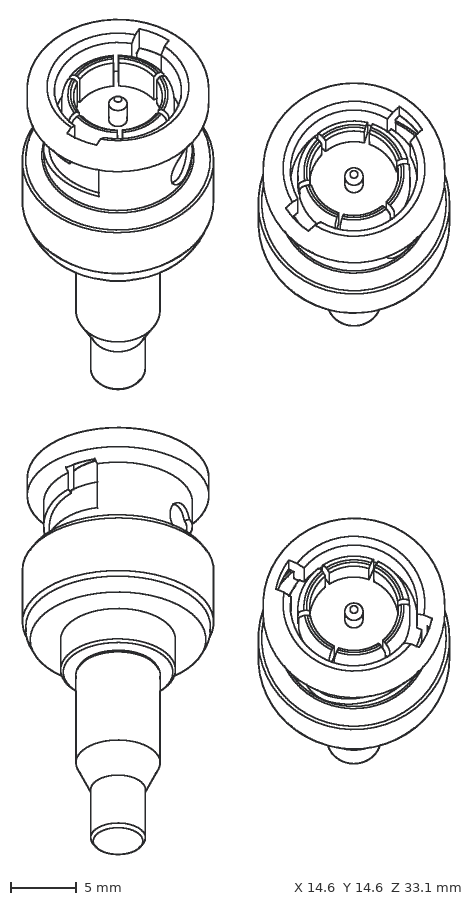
import cadquery as cq
import math

total_height = 33.15

tail_radius = 2.1
tail_chamfer_width = 0.2
tail_chamfer_height = 0.3
taper_bottom = 4.65
ferrule_radius = 3.2
ferrule_bottom = 7.1
ferrule_top = 15.2
ferrule_edge = 0.13

body_radius = 4.38
body_bottom = 15.3
body_chamfer = 0.2

nut_radius = 7.3
nut_bottom = 18.25
rim_radius = 7.03
rim_base_radius = 6.7
rim_cone_top_radius = 6.95
rim_cone_top = 18.8
rim_round_top = 19.03
band_bottom = 19.82
band_top = 24.6
band_chamfer_height = 0.33
nut_top = 25.15
rim_fillet = 0.23

neck_radius = 5.67
neck_foot_radius = 5.8
neck_foot_height = 0.13
flange_radius = 6.93
flange_fillet = 0.25
flange_rim_bottom = 31.3
neck_top = 30.7
bore_radius = 4.85
bore_mouth_radius = 5.4
bore_mouth_depth = 0.43
floor_height = 29.35

lug_half_width = 1.25
lug_slot_radius = 6.05
ramp_floor_radius = 5.25
ramp_angle = 13.6
lock_hole_radius = 1.62
lock_hole_height = 27.05
ramp_width = 2.4

sleeve_outer_radius = 4.28
sleeve_inner_radius = 3.38
sleeve_rim_outer_radius = 3.8
sleeve_rim_inner_radius = 3.6
sleeve_top = 32.25
sleeve_inner_chamfer = sleeve_rim_inner_radius - sleeve_inner_radius
sleeve_shoulder = 31.63
slit_width = 0.4
slit_count = 6

pin_radius = 0.7
pin_tip_radius = 0.3
pin_shoulder = 31.2
pin_top = 31.72


def make_outer_body():
    """Solid of revolution with every outside diameter, from the tail up to the flange."""
    profile = (
        cq.Workplane("XZ")
        .lineTo(tail_radius - tail_chamfer_width, 0)
        .lineTo(tail_radius, tail_chamfer_height)
        .lineTo(tail_radius, taper_bottom)
        .lineTo(ferrule_radius, ferrule_bottom)
        .lineTo(ferrule_radius, ferrule_top - ferrule_edge)
        .lineTo(ferrule_radius - ferrule_edge, ferrule_top)
        .lineTo(ferrule_radius - ferrule_edge, body_bottom)
        .lineTo(body_radius - body_chamfer, body_bottom)
        .lineTo(body_radius, body_bottom + body_chamfer)
        .lineTo(body_radius, nut_bottom)
        .lineTo(rim_base_radius, nut_bottom)
        .lineTo(rim_cone_top_radius, rim_cone_top)
        .tangentArcPoint((rim_radius, rim_round_top), relative=False)
        .lineTo(rim_radius, band_bottom - band_chamfer_height)
        .lineTo(nut_radius, band_bottom)
        .lineTo(nut_radius, band_top)
        .lineTo(rim_radius, band_top)
        .lineTo(rim_radius, nut_top - rim_fillet)
        .tangentArcPoint((rim_radius - rim_fillet, nut_top), relative=False)
        .lineTo(neck_foot_radius, nut_top)
        .lineTo(neck_radius, nut_top + neck_foot_height)
        .lineTo(neck_radius, neck_top)
        .lineTo(flange_radius, flange_rim_bottom)
        .lineTo(flange_radius, total_height - flange_fillet)
        .tangentArcPoint((flange_radius - flange_fillet, total_height), relative=False)
        .lineTo(0, total_height)
        .close()
    )
    return profile.revolve(360, (0, 0), (0, 1))


def make_bore():
    """Mating cavity, opening with a conical mouth at the top."""
    profile = (
        cq.Workplane("XZ")
        .moveTo(0, floor_height)
        .lineTo(bore_radius, floor_height)
        .lineTo(bore_radius, total_height - bore_mouth_depth)
        .lineTo(bore_mouth_radius, total_height)
        .lineTo(0, total_height)
        .close()
    )
    return profile.revolve(360, (0, 0), (0, 1))


def make_lug_slots():
    """Two straight entry slots, at -Y and +Y, reaching from the flange top to the cavity floor."""
    depth = total_height - floor_height
    reach = cq.Workplane("XY").workplane(offset=floor_height).circle(lug_slot_radius).extrude(depth)
    strip = (
        cq.Workplane("XY")
        .workplane(offset=floor_height)
        .rect(2 * lug_half_width, 2 * lug_slot_radius)
        .extrude(depth)
    )
    return reach.intersect(strip)


def make_ramp():
    """Sloping channel from the -Y entry slot to its locking hole at -X."""
    angle = math.radians(ramp_angle)
    low_at_axis = lock_hole_height - lock_hole_radius / math.cos(angle)
    tangent_y = -lock_hole_radius * math.sin(angle)
    tangent_z = lock_hole_height - lock_hole_radius * math.cos(angle)
    rise = math.tan(angle)
    height = ramp_width / math.cos(angle)
    end_y = -flange_radius
    end_z = low_at_axis - end_y * rise
    outline = [
        (tangent_y, tangent_z),
        (end_y, end_z),
        (end_y, end_z + height),
        (0, low_at_axis + height),
        (0, lock_hole_height),
    ]
    length = flange_radius + lug_half_width
    plane = cq.Workplane("YZ").workplane(offset=-flange_radius)
    channel = plane.polyline(outline).close().extrude(length)
    hole = plane.center(0, lock_hole_height).circle(lock_hole_radius).extrude(flange_radius)
    ring = (
        cq.Workplane("XY")
        .workplane(offset=nut_top)
        .circle(flange_radius)
        .circle(ramp_floor_radius)
        .extrude(floor_height - nut_top)
    )
    entry = (
        cq.Workplane("XY")
        .workplane(offset=lock_hole_height)
        .center(0, end_y / 2)
        .rect(2 * lug_half_width, flange_radius)
        .extrude(floor_height - lock_hole_height)
    )
    return channel.union(hole).union(entry).intersect(ring)


def make_sleeve():
    """Contact sleeve with a rounded outer lip, cut into fingers by radial slits."""
    profile = (
        cq.Workplane("XZ")
        .moveTo(sleeve_inner_radius, floor_height)
        .lineTo(sleeve_outer_radius, floor_height)
        .lineTo(sleeve_outer_radius, sleeve_shoulder)
        .tangentArcPoint((sleeve_rim_outer_radius, sleeve_top), relative=False)
        .lineTo(sleeve_rim_inner_radius, sleeve_top)
        .lineTo(sleeve_inner_radius, sleeve_top - sleeve_inner_chamfer)
        .close()
    )
    sleeve = profile.revolve(360, (0, 0), (0, 1))
    slit = (
        cq.Workplane("XY")
        .workplane(offset=floor_height)
        .rect(2 * sleeve_outer_radius, slit_width)
        .extrude(sleeve_top - floor_height)
    )
    for index in range(slit_count // 2):
        sleeve = sleeve.cut(slit.rotate((0, 0, 0), (0, 0, 1), index * 360 / slit_count))
    return sleeve


def make_pin():
    """Centre contact with a conical tip."""
    profile = (
        cq.Workplane("XZ")
        .moveTo(0, floor_height)
        .lineTo(pin_radius, floor_height)
        .lineTo(pin_radius, pin_shoulder)
        .lineTo(pin_tip_radius, pin_top)
        .lineTo(0, pin_top)
        .close()
    )
    return profile.revolve(360, (0, 0), (0, 1))


ramp = make_ramp()
opposite_ramp = ramp.rotate((0, 0, 0), (0, 0, 1), 180)

plug = make_outer_body().cut(make_bore()).cut(make_lug_slots()).cut(ramp).cut(opposite_ramp)
result = plug.union(make_sleeve()).union(make_pin())